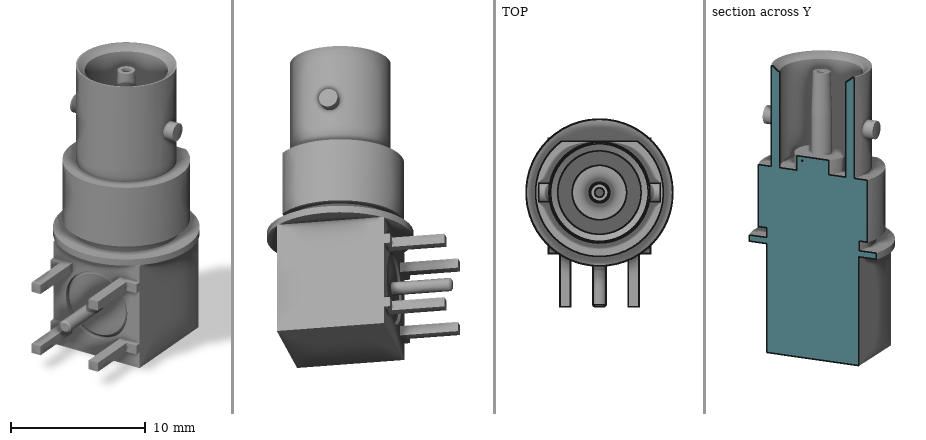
import cadquery as cq

total_height = 22.45

block_width = 7.59
block_front = -4.09
block_back = 4.05
block_height = 8.49

flange_diameter = 10.9
flange_top = 9.0
neck_diameter = 8.22
neck_top = 9.72
collar_diameter = 9.5
collar_top = 14.6
barrel_diameter = 7.5
flat_y = 3.82

bore_diameter = 6.2
mouth_diameter = 7.25
mouth_depth = 0.45
bore_floor = 14.6
insulator_diameter = 4.05
insulator_height = 1.12
contact_base_diameter = 1.53
contact_tip_diameter = 1.3
contact_taper_length = 3.15
contact_hole_diameter = 0.7
contact_hole_depth = 2.7
contact_top = total_height - mouth_depth

lug_diameter = 1.4
lug_span = 9.02
lug_z = 18.05

pin_tip_y = -8.49
pin_z = 4.22
pin_diameter = 0.99
pin_chamfer = 0.13
plug_bore_diameter = 5.43
plug_face_diameter = 4.95
plug_recess = 0.13
plug_chamfer = (plug_bore_diameter - plug_face_diameter) / 2
leg_thickness = 0.75
leg_inner_x = 2.13
leg_outer_x = 2.95
leg_z_offset = 2.54
foot_front = -4.53


def cylinder(diameter, bottom, top):
    return cq.Workplane("XY").workplane(offset=bottom).circle(diameter / 2).extrude(top - bottom)


def box(x_min, x_max, y_min, y_max, z_min, z_max):
    size = (x_max - x_min, y_max - y_min, z_max - z_min)
    return cq.Workplane("XY").box(*size, centered=False).translate((x_min, y_min, z_min))


def front_cylinder(diameter, y_front, y_back):
    """Cylinder along Y on the signal pin axis."""
    plane = cq.Workplane("XZ", origin=(0, y_back, pin_z))
    return plane.circle(diameter / 2).extrude(y_back - y_front)


def make_body():
    half_width = block_width / 2
    block = box(-half_width, half_width, block_front, block_back, 0, block_height)
    flange = cylinder(flange_diameter, block_height, flange_top)
    neck = cylinder(neck_diameter, flange_top, neck_top)
    collar = cylinder(collar_diameter, neck_top, collar_top)
    flat_cutter = box(
        -collar_diameter, collar_diameter, flat_y, collar_diameter, flange_top, collar_top
    )
    turned = neck.union(collar).cut(flat_cutter)
    barrel = cylinder(barrel_diameter, collar_top, total_height)
    return block.union(flange).union(turned).union(barrel)


def make_lugs():
    plane = cq.Workplane("YZ", origin=(-lug_span / 2, 0, lug_z))
    return plane.circle(lug_diameter / 2).extrude(lug_span)


def make_cavity():
    bore = cylinder(bore_diameter, bore_floor, total_height)
    mouth = (
        cq.Workplane("XY", origin=(0, 0, total_height - mouth_depth))
        .circle(bore_diameter / 2)
        .workplane(offset=mouth_depth)
        .circle(mouth_diameter / 2)
        .loft()
    )
    return bore.union(mouth)


def make_contact():
    insulator_top = bore_floor + insulator_height
    taper_start = contact_top - contact_taper_length
    insulator = cylinder(insulator_diameter, bore_floor, insulator_top)
    shank = cylinder(contact_base_diameter, bore_floor, taper_start)
    tip = (
        cq.Workplane("XY", origin=(0, 0, taper_start))
        .circle(contact_base_diameter / 2)
        .workplane(offset=contact_taper_length)
        .circle(contact_tip_diameter / 2)
        .loft()
    )
    hole = cylinder(contact_hole_diameter, contact_top - contact_hole_depth, contact_top)
    return insulator.union(shank).union(tip).cut(hole)


def make_plug_recess():
    """Recess in front of the plug, with a groove around its chamfered edge."""
    plug_face = block_front + plug_recess
    groove_back = plug_face + plug_chamfer
    bore = front_cylinder(plug_bore_diameter, block_front, groove_back)
    plug_edge = (
        cq.Workplane("XZ", origin=(0, groove_back, pin_z))
        .circle(plug_bore_diameter / 2)
        .workplane(offset=plug_chamfer)
        .circle(plug_face_diameter / 2)
        .loft()
    )
    return bore.cut(plug_edge)


def make_pin():
    pin = front_cylinder(pin_diameter, pin_tip_y, block_front + plug_recess)
    return pin.faces("<Y").chamfer(pin_chamfer)


def make_leg(side, z):
    """Leg with a wider foot that ends flush with the side of the block."""
    z_min = z - leg_thickness / 2
    z_max = z + leg_thickness / 2
    leg = box(leg_inner_x, leg_outer_x, pin_tip_y, block_front, z_min, z_max)
    foot = box(leg_inner_x, block_width / 2, foot_front, block_front, z_min, z_max)
    right_leg = leg.union(foot)
    return right_leg if side > 0 else right_leg.mirror("YZ")


result = make_body().union(make_lugs()).cut(make_cavity()).union(make_contact())
result = result.cut(make_plug_recess()).union(make_pin())
for side in (-1, 1):
    for offset in (-leg_z_offset, leg_z_offset):
        result = result.union(make_leg(side, pin_z + offset))